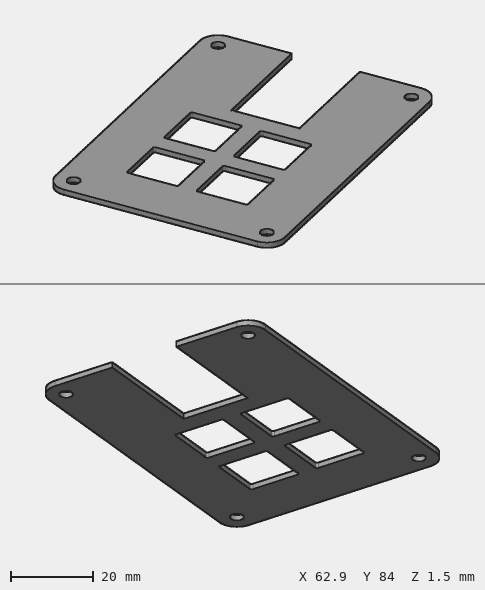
import cadquery as cq

plate_width = 62.9
plate_length = 84.0
plate_thickness = 1.5
corner_radius = 4.95

mount_hole_diameter = 3.4
mount_spacing_x = plate_width - 2 * corner_radius
mount_spacing_y = plate_length - 2 * corner_radius

notch_width = 18.6
notch_depth = 31.0
notch_center_x = 0.4

key_size = 14.0
key_pitch = 19.1
key_corner_radius = 0.5
key_columns = 2
key_rows = 2
key_grid_center = (-0.5, -11.0)


def make_plate():
    """Flat plate with rounded corners."""
    blank = cq.Workplane("XY").rect(plate_width, plate_length).extrude(plate_thickness)
    return blank.edges("|Z").fillet(corner_radius)


def make_mount_holes():
    """Four round cutters on a rectangle around the plate centre."""
    centers = cq.Workplane("XY").rect(mount_spacing_x, mount_spacing_y, forConstruction=True).vertices()
    return centers.circle(mount_hole_diameter / 2).extrude(plate_thickness)


def make_notch():
    """Rectangular cutter reaching in from the +Y edge."""
    notch_center_y = (plate_length - notch_depth) / 2
    outline = cq.Workplane("XY").center(notch_center_x, notch_center_y).rect(notch_width, notch_depth)
    return outline.extrude(plate_thickness)


def make_key_openings():
    """Grid of square cutters with slightly rounded corners."""
    grid = cq.Workplane("XY").center(*key_grid_center).rarray(key_pitch, key_pitch, key_columns, key_rows)
    squares = grid.rect(key_size, key_size).extrude(plate_thickness)
    return squares.edges("|Z").fillet(key_corner_radius)


result = make_plate().cut(make_mount_holes()).cut(make_notch()).cut(make_key_openings())